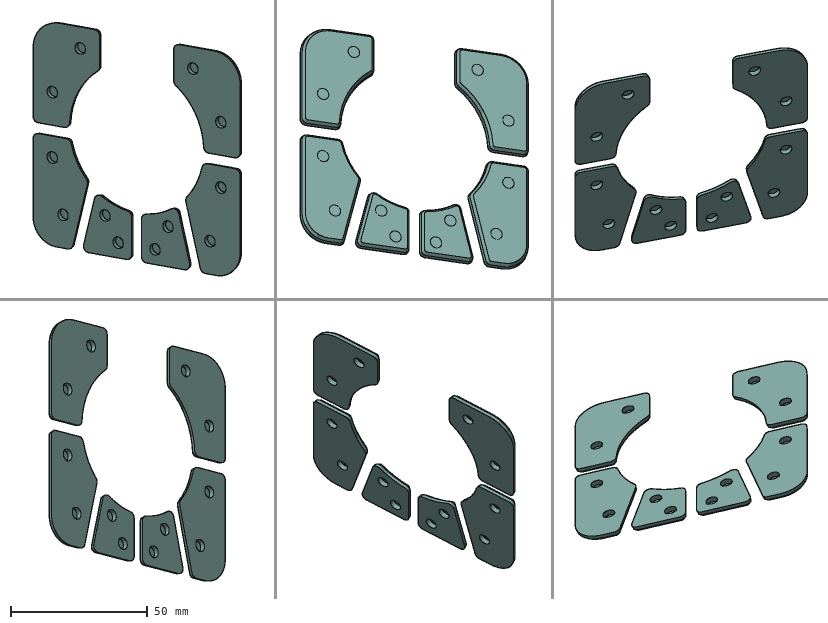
import cadquery as cq

WIDTH = 88.4
HEIGHT = 86.4
THICKNESS = 2.5
LEFT = -WIDTH / 2
TOP = HEIGHT / 2
BOTTOM = -HEIGHT / 2

OPENING_RADIUS = 28.6
OPENING_Z = 4.0

GAP = 4.15
SPLIT_Z = 1.3
UPPER_INNER_X = -15.8
SPLIT_SLOPE = 0.25
SPLIT_FOOT_X = -25.5
SPLIT_HALF_GAP_X = GAP / 2 * (1 + SPLIT_SLOPE**2) ** 0.5

CORNER_RADIUS = 2.2
UPPER_OUTER_RADIUS = 11.1
SIDE_OUTER_RADIUS = 10.1
CHAMFER = 1.0
CHAMFER_ANGLE = 45.0
DRAFT_ANGLE = 10.0

HOLE_DIAMETER = 4.4
HOLE_DEPTH = 2.0
HOLE_INSET = 8.2
UPPER_LOW_HOLE_Z = 16.2
SIDE_LOW_HOLE = (-31.4, -30.3)
LOWER_HOLES = [(-13.4, -27.7), (-7.9, -37.3)]

UPPER_BASE_Z = SPLIT_Z + GAP / 2
SIDE_TOP_Z = SPLIT_Z - GAP / 2


def split_x(foot_x, z):
    """X of a slanted edge at height z, from its X at the bottom edge."""
    return foot_x + SPLIT_SLOPE * (z - BOTTOM)


def front_plane():
    """XZ plane at Y = 0, whose normal points to -Y."""
    return cq.Workplane("XZ")


def tapered_from(face, depth, angle):
    """Solid that grows from a face toward +Y while its outline shrinks at the given angle."""
    return cq.Workplane(cq.Solid.extrudeLinear(face.outerWire(), [], cq.Vector(0, depth, 0), angle))


def rounded_blank(outline, outer_corner, outer_radius):
    """Straight plate trimmed by the opening, with its corners rounded."""
    blank = front_plane().polyline(outline).close().extrude(-THICKNESS)
    opening = front_plane().center(0, OPENING_Z).circle(OPENING_RADIUS).extrude(-THICKNESS)
    blank = blank.cut(opening)
    if outer_corner is None:
        return blank.edges("|Y").fillet(CORNER_RADIUS)

    corner_x, corner_z = outer_corner
    outer_edge = cq.selectors.NearestToPointSelector((corner_x, THICKNESS / 2, corner_z))
    small_edges = cq.selectors.StringSyntaxSelector("|Y") - outer_edge
    blank = blank.edges(small_edges).fillet(CORNER_RADIUS)
    return blank.edges(outer_edge).fillet(outer_radius)


def make_plate(outline, hole_centers, outer_corner=None, outer_radius=None):
    """Plate with its front at Y = 0, drafted walls, a bevelled back rim and blind holes."""
    blank = rounded_blank(outline, outer_corner, outer_radius)
    body = tapered_from(blank.faces("<Y").val(), THICKNESS - CHAMFER, DRAFT_ANGLE)
    bevel = tapered_from(body.faces(">Y").val(), CHAMFER, CHAMFER_ANGLE)
    holes = front_plane().pushPoints(hole_centers).circle(HOLE_DIAMETER / 2).extrude(-HOLE_DEPTH)
    return body.union(bevel).cut(holes)


def upper_plate():
    """Top left plate, with the large rounding at the frame corner."""
    outline = [(LEFT, UPPER_BASE_Z), (LEFT, TOP), (UPPER_INNER_X, TOP), (UPPER_INNER_X, UPPER_BASE_Z)]
    holes = [(UPPER_INNER_X - HOLE_INSET, TOP - HOLE_INSET), (LEFT + HOLE_INSET, UPPER_LOW_HOLE_Z)]
    return make_plate(outline, holes, (LEFT, TOP), UPPER_OUTER_RADIUS)


def side_plate():
    """Bottom left corner plate, with a slanted inner edge."""
    foot_x = SPLIT_FOOT_X - SPLIT_HALF_GAP_X
    outline = [
        (LEFT, SIDE_TOP_Z),
        (LEFT, BOTTOM),
        (foot_x, BOTTOM),
        (split_x(foot_x, SIDE_TOP_Z), SIDE_TOP_Z),
    ]
    holes = [(LEFT + HOLE_INSET, SIDE_TOP_Z - HOLE_INSET), SIDE_LOW_HOLE]
    return make_plate(outline, holes, (LEFT, BOTTOM), SIDE_OUTER_RADIUS)


def lower_plate():
    """Small plate beside the middle of the bottom edge."""
    foot_x = SPLIT_FOOT_X + SPLIT_HALF_GAP_X
    inner_x = -GAP / 2
    outline = [
        (inner_x, SIDE_TOP_Z),
        (inner_x, BOTTOM),
        (foot_x, BOTTOM),
        (split_x(foot_x, SIDE_TOP_Z), SIDE_TOP_Z),
    ]
    return make_plate(outline, LOWER_HOLES)


plates = []
for make_left_plate in (upper_plate, side_plate, lower_plate):
    left_plate = make_left_plate()
    right_plate = left_plate.mirror("YZ")
    plates += [left_plate.val(), right_plate.val()]

result = cq.Compound.makeCompound(plates)